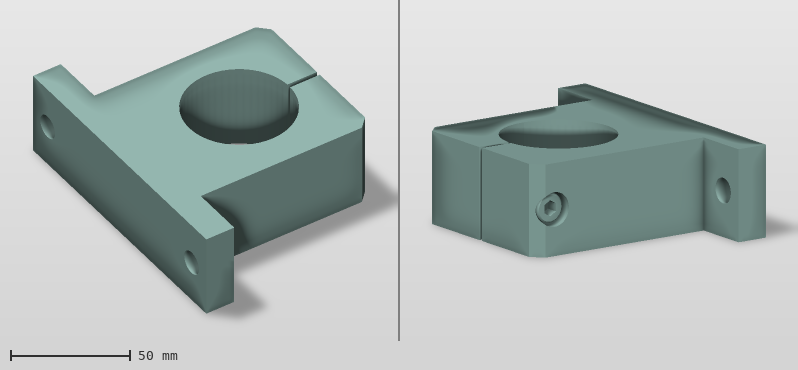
import cadquery as cq
import math

flange_length = 130.0
flange_thickness = 14.0
height = 40.0
mount_hole_diameter = 11.0
mount_hole_spacing = 107.9

total_depth = 100.0
block_width = 79.8
corner_chamfer = 5.0
bore_diameter = 50.0
bore_center_y = 60.0
slit_width = 2.1

screw_y = total_depth - 9.4
counterbore_diameter = 15.0
counterbore_depth = 11.0
head_diameter = 13.0
head_height = 8.0
head_chamfer = 0.8
socket_across_flats = 6.0
socket_depth = 5.8

middle_z = height / 2
floor_x = -block_width / 2 + counterbore_depth


def make_body():
    """T-shaped body with the back corners of the block chamfered."""
    flange = cq.Workplane("XY").box(
        flange_length, flange_thickness, height, centered=(True, False, False)
    )
    block = (
        cq.Workplane("XY")
        .box(block_width, total_depth, height, centered=(True, False, False))
        .edges("|Z and >Y")
        .chamfer(corner_chamfer)
    )
    return flange.union(block)


def cut_clamp_bore(body):
    """Cut the shaft bore and the slit from the bore to the back face."""
    bore = cq.Workplane("XY").center(0, bore_center_y).circle(bore_diameter / 2).extrude(height)
    slit = (
        cq.Workplane("XY")
        .box(slit_width, total_depth - bore_center_y, height, centered=(True, False, False))
        .translate((0, bore_center_y, 0))
    )
    return body.cut(bore).cut(slit)


def cut_mount_holes(body):
    """Drill the two mounting holes through the flange."""
    holes = (
        cq.Workplane("XZ", origin=(0, 0, middle_z))
        .rarray(mount_hole_spacing, 1.3, 2, 1)
        .circle(mount_hole_diameter / 2)
        .extrude(-flange_thickness)
    )
    return body.cut(holes)


def screw_plane(x):
    """Work plane on the screw axis, facing out of the -X side."""
    return cq.Workplane(cq.Plane(origin=(x, screw_y, middle_z), xDir=(0, -1, 0), normal=(-1, 0, 0)))


def add_clamp_screw(body):
    """Sink a counterbore and seat a hex-socket screw head on its floor."""
    counterbore = screw_plane(floor_x).circle(counterbore_diameter / 2).extrude(counterbore_depth)
    head = (
        screw_plane(floor_x)
        .circle(head_diameter / 2)
        .extrude(head_height)
        .faces("<X")
        .chamfer(head_chamfer)
    )
    socket_corner_diameter = socket_across_flats / math.cos(math.pi / 6)
    socket = (
        screw_plane(floor_x - head_height)
        .transformed(rotate=(0, 0, 90))
        .polygon(6, socket_corner_diameter)
        .extrude(-socket_depth)
    )
    return body.cut(counterbore).union(head.cut(socket))


result = add_clamp_screw(cut_mount_holes(cut_clamp_bore(make_body())))